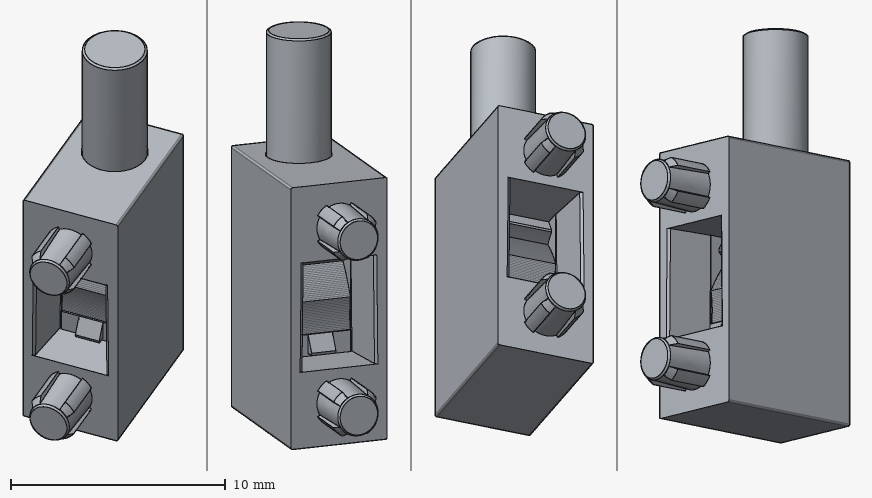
import cadquery as cq
import math

BODY_WIDTH = 4.83
BODY_DEPTH = 7.63
BODY_HEIGHT = 12.7
BODY_EDGE_RADIUS = 0.1

TOTAL_HEIGHT = 18.71
POST_RADIUS = 1.52
POST_Y = 5.1
POST_CHAMFER_WIDTH = 0.11
POST_CHAMFER_HEIGHT = 0.07
CLEARANCE_RADIUS = 1.55
CLEARANCE_DEPTH = 0.19

PEG_LENGTH = 2.53
PEG_SPACING = 8.51
PEG_MIDDLE_Z = 6.35
CORE_BASE_RADIUS = 1.1
CORE_END_RADIUS = 1.01
CORE_TIP_RADIUS = 0.94
CORE_TIP_LENGTH = 0.11
RIB_RADIUS = 1.23
RIB_ANGLE = 30
RIB_COUNT = 4
RIB_TAPER_LENGTH = 0.52

POCKET_BOTTOM = 3.7
POCKET_TOP = 9.0
POCKET_MOUTH_HALF = 1.95
POCKET_THROAT_HALF = 1.81
POCKET_BACK_HALF = 1.6
POCKET_FLARE_DEPTH = 0.1
POCKET_DEPTH = 2.43
POCKET_SIDE_TAPER = 0.05

INSERT_WIDTH = 3.05
INSERT_PROUD = 0.05
INSERT_FACE_Y = POCKET_DEPTH - INSERT_PROUD

HOLLOW_BOTTOM_Z = 4.75
HOLLOW_BOTTOM_DEPTH = 0.1
HOLLOW_TOP_Z = 6.35
HOLLOW_TOP_DEPTH = 0.05
HOLLOW_RISE = 0.05
RAMP_TOP_Z = 7.84
RAMP_TILT = 32
RAMP_BULGE = 0.05
HOOK_BOTTOM_Z = 8.29
HOOK_TOP_Z = 8.4
HOOK_UNDERSIDE_TILT = 45
HOOK_UNDERSIDE_RISE = 0.013
HOOK_TOP_TILT = 30
FACETS_PER_CURVE = 20

CATCH_WIDTH = 1.22
CATCH_REACH = 0.45
CATCH_NOSE_Z = 3.97
CATCH_BOTTOM = 3.84
CATCH_LIP_SETBACK = 0.04


def make_body():
    body = cq.Workplane("XY").box(
        BODY_WIDTH, BODY_DEPTH, BODY_HEIGHT, centered=(True, False, False)
    )
    return body.edges("not <Y").fillet(BODY_EDGE_RADIUS)


def make_clearance_hole():
    return (
        cq.Workplane("XY")
        .workplane(offset=BODY_HEIGHT - CLEARANCE_DEPTH)
        .center(0, POST_Y)
        .circle(CLEARANCE_RADIUS)
        .extrude(CLEARANCE_DEPTH)
    )


def make_post():
    root_z = BODY_HEIGHT - CLEARANCE_DEPTH
    outline = [
        (0, root_z),
        (POST_RADIUS, root_z),
        (POST_RADIUS, TOTAL_HEIGHT - POST_CHAMFER_HEIGHT),
        (POST_RADIUS - POST_CHAMFER_WIDTH, TOTAL_HEIGHT),
        (0, TOTAL_HEIGHT),
    ]
    post = cq.Workplane("XZ").polyline(outline).close().revolve(360, (0, 0), (0, 1))
    return post.translate((0, POST_Y, 0))


def make_peg():
    """Peg on the Y axis, pointing to -Y from the front face."""
    core_outline = [
        (0, 0),
        (CORE_BASE_RADIUS, 0),
        (CORE_END_RADIUS, CORE_TIP_LENGTH - PEG_LENGTH),
        (CORE_TIP_RADIUS, -PEG_LENGTH),
        (0, -PEG_LENGTH),
    ]
    rib_outline = [
        (0, 0),
        (RIB_RADIUS, 0),
        (RIB_RADIUS, RIB_TAPER_LENGTH - PEG_LENGTH),
        (CORE_TIP_RADIUS, -PEG_LENGTH),
        (0, -PEG_LENGTH),
    ]
    peg = cq.Workplane("XY").polyline(core_outline).close().revolve(360, (0, 0), (0, 1))
    rib = cq.Workplane("XY").polyline(rib_outline).close().revolve(RIB_ANGLE, (0, 0), (0, 1))
    rib_step = 360 / RIB_COUNT
    for index in range(RIB_COUNT):
        start_angle = (rib_step - RIB_ANGLE) / 2 + index * rib_step
        peg = peg.union(rib.rotate((0, 0, 0), (0, 1, 0), start_angle))
    return peg


def pocket_outline(taper):
    """Plan outline of the pocket, each side wall moved inwards by the taper."""
    right_wall = [
        (POCKET_MOUTH_HALF - taper, 0),
        (POCKET_THROAT_HALF - taper, POCKET_FLARE_DEPTH),
        (POCKET_BACK_HALF - taper, POCKET_DEPTH),
    ]
    return right_wall + [(-x, y) for x, y in reversed(right_wall)]


def make_pocket():
    return (
        cq.Workplane("XY")
        .workplane(offset=POCKET_BOTTOM)
        .polyline(pocket_outline(0))
        .close()
        .workplane(offset=POCKET_TOP - POCKET_BOTTOM)
        .polyline(pocket_outline(POCKET_SIDE_TAPER))
        .close()
        .loft(ruled=True)
    )


def extrude_across(outline, width):
    """Extrude a (Y, Z) outline along X, centred on X = 0."""
    return cq.Workplane("YZ").polyline(outline).close().extrude(width / 2, both=True)


def make_insert():
    return extrude_across(
        [
            (INSERT_FACE_Y, POCKET_BOTTOM),
            (POCKET_DEPTH, POCKET_BOTTOM),
            (POCKET_DEPTH, POCKET_TOP),
            (INSERT_FACE_Y, POCKET_TOP),
        ],
        INSERT_WIDTH,
    )


def faceted_arc(start, end, rise):
    """Points of a shallow arc in flat facets; a positive rise bows it to +Y on the way up."""
    run_y = end[0] - start[0]
    run_z = end[1] - start[1]
    chord = math.hypot(run_y, run_z)
    half_angle = 2 * math.atan(2 * rise / chord)
    radius = chord / (2 * math.sin(half_angle))
    points = []
    for index in range(FACETS_PER_CURVE + 1):
        angle = half_angle * (2 * index / FACETS_PER_CURVE - 1)
        along = 0.5 + radius * math.sin(angle) / chord
        bow = radius * (math.cos(angle) - math.cos(half_angle)) / chord
        points.append((start[0] + along * run_y + bow * run_z, start[1] + along * run_z - bow * run_y))
    return points


def make_hook_recess():
    """Space in front of the hooked profile: hollow, ramp, underside of the hook, hook nose."""
    ramp_depth = (RAMP_TOP_Z - HOLLOW_TOP_Z) * math.tan(math.radians(RAMP_TILT))
    underside_depth = (HOOK_BOTTOM_Z - RAMP_TOP_Z) * math.tan(math.radians(HOOK_UNDERSIDE_TILT))
    nose_slope_depth = (POCKET_TOP - HOOK_TOP_Z) * math.tan(math.radians(HOOK_TOP_TILT))

    hollow_top_y = INSERT_FACE_Y + HOLLOW_TOP_DEPTH
    ramp_top_y = hollow_top_y + ramp_depth
    hook_y = ramp_top_y - underside_depth

    hollow_bottom = (INSERT_FACE_Y + HOLLOW_BOTTOM_DEPTH, HOLLOW_BOTTOM_Z)
    hollow_top = (hollow_top_y, HOLLOW_TOP_Z)
    ramp_top = (ramp_top_y, RAMP_TOP_Z)
    hook_bottom = (hook_y, HOOK_BOTTOM_Z)

    outline = [(0, HOLLOW_BOTTOM_Z)]
    outline += faceted_arc(hollow_bottom, hollow_top, HOLLOW_RISE)
    outline += faceted_arc(hollow_top, ramp_top, -RAMP_BULGE)[1:]
    outline += faceted_arc(ramp_top, hook_bottom, HOOK_UNDERSIDE_RISE)[1:]
    outline += [(hook_y, HOOK_TOP_Z), (hook_y + nose_slope_depth, POCKET_TOP), (0, POCKET_TOP)]
    return extrude_across(outline, INSERT_WIDTH)


def make_catch():
    nose_y = INSERT_FACE_Y - CATCH_REACH
    outline = [
        (POCKET_DEPTH, CATCH_BOTTOM),
        (nose_y + CATCH_LIP_SETBACK, CATCH_BOTTOM),
        (nose_y, CATCH_NOSE_Z),
        (INSERT_FACE_Y, HOLLOW_BOTTOM_Z),
        (POCKET_DEPTH, HOLLOW_BOTTOM_Z),
    ]
    return extrude_across(outline, CATCH_WIDTH)


result = make_body().cut(make_pocket()).union(make_insert()).cut(make_hook_recess())
result = result.cut(make_clearance_hole()).union(make_post()).union(make_catch())

for side in (-1, 1):
    peg_z = PEG_MIDDLE_Z + side * PEG_SPACING / 2
    result = result.union(make_peg().translate((0, 0, peg_z)))